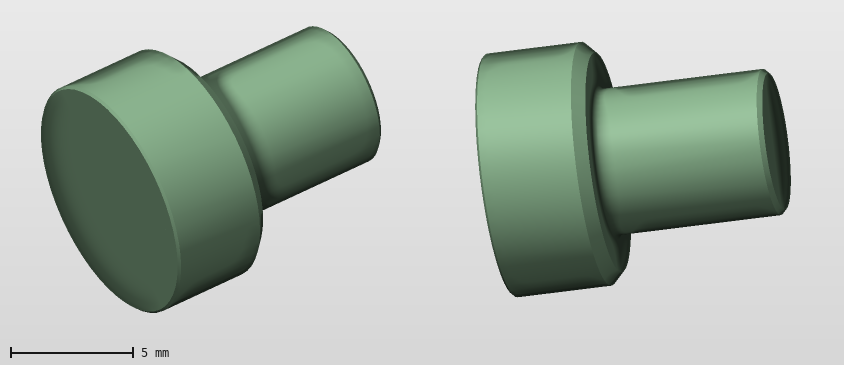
import cadquery as cq

total_length = 11.5
head_diameter = 10.0
head_length = 4.5
shank_diameter = 6.0
pocket_diameter = 9.0
magnet_diameter = 8.5
pocket_depth = 3.0

front_chamfer = 0.1
shoulder_chamfer = 0.5
shank_end_chamfer = 0.2
neck_fillet = 0.2

shank_length = total_length - head_length


def cylinder(diameter, length, start=0.0):
    """Solid cylinder along +Y whose front end is at Y = start."""
    return cq.Workplane("XZ").workplane(offset=-start).circle(diameter / 2).extrude(-length)


def make_housing():
    """Stepped round housing with a blind pocket in its front face."""
    head = cylinder(head_diameter, head_length)
    head = head.faces("<Y").edges().chamfer(front_chamfer)
    head = head.faces(">Y").edges().chamfer(shoulder_chamfer)

    shank = cylinder(shank_diameter, shank_length, head_length)
    shank = shank.faces(">Y").edges().chamfer(shank_end_chamfer)

    neck_reach = shank_diameter / 2 + neck_fillet
    neck_zone = cq.selectors.BoxSelector(
        (-neck_reach, head_length - neck_fillet, -neck_reach),
        (neck_reach, head_length + neck_fillet, neck_reach),
        boundingbox=True,
    )
    body = head.union(shank).edges(neck_zone).fillet(neck_fillet)
    return body.cut(cylinder(pocket_diameter, pocket_depth))


def make_spacer_ring():
    """Thin sleeve that fills the gap between magnet and pocket wall."""
    return cylinder(pocket_diameter, pocket_depth).cut(cylinder(magnet_diameter, pocket_depth))


def make_magnet():
    """Plain disc seated in the pocket, flush with the front face."""
    return cylinder(magnet_diameter, pocket_depth)


housing = make_housing()
spacer_ring = make_spacer_ring()
magnet = make_magnet()

bodies = [housing, spacer_ring, magnet]
result = cq.Compound.makeCompound([body.solids().val() for body in bodies])